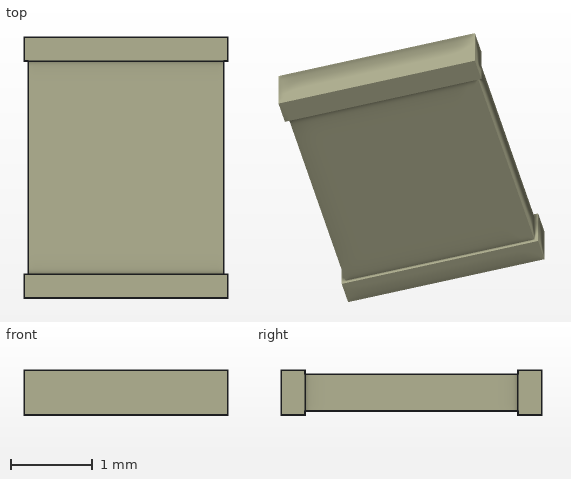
import cadquery as cq

width = 2.5
length = 3.2
height = 0.55

cap_length = 0.295
cap_step = 0.048


def end_cap(side):
    """Rectangular cap at the +Y (side=1) or -Y (side=-1) end."""
    center_y = side * (length - cap_length) / 2
    return cq.Workplane("XY").box(width, cap_length, height).translate((0, center_y, 0))


body = cq.Workplane("XY").box(
    width - 2 * cap_step,
    length - 2 * cap_length,
    height - 2 * cap_step,
)

result = body
for side in (-1, 1):
    result = result.union(end_cap(side))